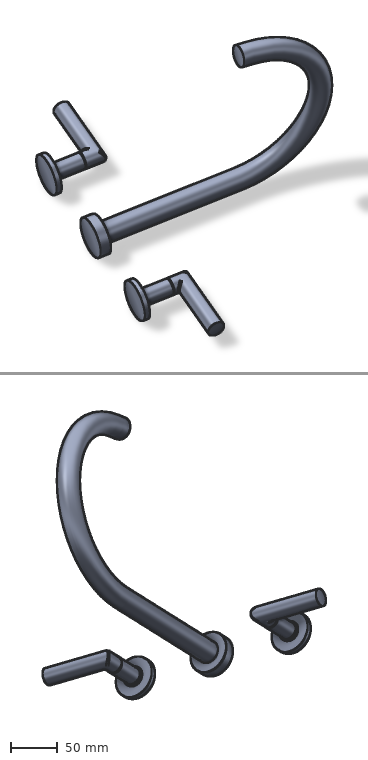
import cadquery as cq
import math

overall_width = 355.5
handle_spacing = 101.5
flange_diameter = 47.0

spout_flange_thickness = 12.8
spout_flange_chamfer = 0.5
pipe_diameter = 25.2
straight_end = 180.0
bend_radius = 100.0
bend_angle = 172.4
tip_length = 13.0

handle_flange_thickness = 6.5
collar_diameter = 22.5
collar_height = 3.0
stem_diameter = 19.5
lever_axis_height = 58.5
mitre_chamfer = 1.5
groove_height = 42.5
groove_width = 0.85
groove_depth = 0.5


def disc(diameter, start, length):
    """Cylinder around the Y axis, from y = start towards +Y."""
    plane = cq.Workplane("XZ", origin=(0, start, 0))
    return plane.circle(diameter / 2).extrude(-length)


def make_spout():
    """Base flange with a pipe that rises, bends back and ends in a short straight tip."""
    def bend_point(angle):
        turn = math.radians(angle)
        return (
            straight_end + bend_radius * math.sin(turn),
            bend_radius * (1 - math.cos(turn)),
        )

    end_turn = math.radians(bend_angle)
    bend_end = bend_point(bend_angle)
    tip_end = (
        bend_end[0] + tip_length * math.cos(end_turn),
        bend_end[1] + tip_length * math.sin(end_turn),
    )
    path = (
        cq.Workplane("YZ")
        .moveTo(spout_flange_thickness, 0)
        .lineTo(straight_end, 0)
        .threePointArc(bend_point(bend_angle / 2), bend_end)
        .lineTo(*tip_end)
    )
    pipe_base = cq.Workplane("XZ", origin=(0, spout_flange_thickness, 0))
    pipe = pipe_base.circle(pipe_diameter / 2).sweep(path)
    flange = disc(flange_diameter, 0, spout_flange_thickness)
    flange = flange.faces(">Y").chamfer(spout_flange_chamfer)
    return flange.union(pipe)


def make_mitred_bar(lever_length):
    """Round stem and lever of one diameter, meeting in a mitred and chamfered corner."""
    radius = stem_diameter / 2
    corner = lever_axis_height + radius
    stem = disc(stem_diameter, 0, corner)
    lever = (
        cq.Workplane("YZ", origin=(-radius, 0, 0))
        .center(lever_axis_height, 0)
        .circle(radius)
        .extrude(lever_length + radius)
    )
    reach = 2 * lever_length
    stem_side = (
        cq.Workplane("XY", origin=(0, lever_axis_height, -stem_diameter))
        .polyline([(-reach, reach), (reach, -reach), (-reach, -reach)])
        .close()
        .extrude(2 * stem_diameter)
    )
    bar = stem.intersect(stem_side).union(lever.cut(stem_side))
    seam = [edge for edge in bar.edges().vals() if edge.geomType() == "ELLIPSE"]
    return cq.Workplane(bar.val().chamfer(mitre_chamfer, None, seam))


def make_handle(side):
    """Flanged handle whose lever points to +X for side = 1 and to -X for side = -1."""
    lever_length = overall_width / 2 - handle_spacing
    handle = (
        disc(flange_diameter, 0, handle_flange_thickness)
        .union(disc(collar_diameter, handle_flange_thickness, collar_height))
        .union(make_mitred_bar(lever_length))
    )
    groove = disc(stem_diameter, groove_height, groove_width)
    groove = groove.cut(disc(stem_diameter - 2 * groove_depth, groove_height, groove_width))
    handle = handle.cut(groove).translate((handle_spacing, 0, 0))
    return handle if side > 0 else handle.mirror("YZ")


spout = make_spout()
handles = [make_handle(side) for side in (-1, 1)]

result = cq.Compound.makeCompound([spout.val(), *[handle.val() for handle in handles]])